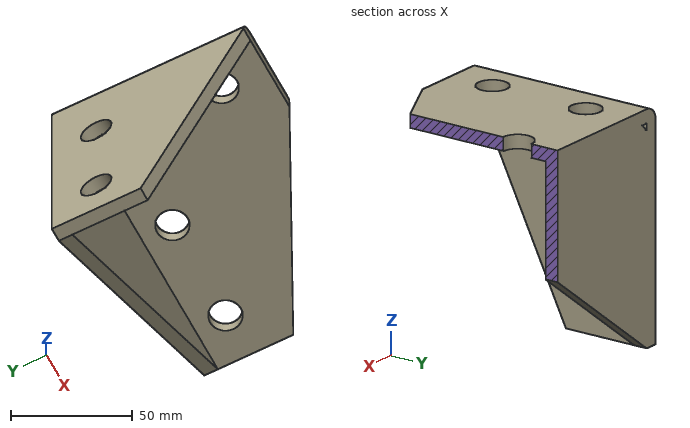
import cadquery as cq

length = 136.8
width = 89.0
height = 105.0
thickness = 6.3

hole_diameter = 14.2
hole_pitch = 47.6
hole_inset = 20.7
narrow_end = 2 * hole_inset

gusset_relief = 3.0

inner_top = height - thickness
back_hole_y = width - hole_inset


def top_plate():
    """Horizontal plate with one tapered corner and a rounded bend edge."""
    outline = [
        (0, 0),
        (narrow_end, 0),
        (length, width - narrow_end),
        (length, width),
        (0, width),
    ]
    plate = cq.Workplane("XY").workplane(offset=inner_top).polyline(outline).close().extrude(thickness)
    bend = (
        cq.Workplane("XZ")
        .moveTo(0, inner_top)
        .radiusArc((thickness, height), thickness)
        .lineTo(0, height)
        .close()
        .extrude(-width)
    )
    return plate.cut(bend)


def wall():
    """Vertical plate at X = 0, narrowing toward the bottom."""
    outline = [
        (0, inner_top),
        (width, inner_top),
        (width, 0),
        (width - narrow_end, 0),
    ]
    return cq.Workplane("YZ").polyline(outline).close().extrude(thickness)


def gusset():
    """Triangular web along the +Y side, joining both plates."""
    outline = [
        (thickness, 0),
        (length, inner_top),
        (thickness + gusset_relief, inner_top),
        (thickness, inner_top - gusset_relief),
    ]
    return (
        cq.Workplane("XZ", origin=(0, width, 0))
        .polyline(outline)
        .close()
        .extrude(thickness)
    )


def top_holes():
    """Three holes along the +Y side and one more beside the bend."""
    centers = [(hole_inset + i * hole_pitch, back_hole_y) for i in range(3)]
    centers.append((hole_inset, back_hole_y - hole_pitch))
    return (
        cq.Workplane("XY")
        .workplane(offset=inner_top)
        .pushPoints(centers)
        .circle(hole_diameter / 2)
        .extrude(thickness)
    )


def wall_holes():
    """Two holes stacked above the bottom of the wall."""
    centers = [(back_hole_y, hole_inset + i * hole_pitch) for i in range(2)]
    return cq.Workplane("YZ").pushPoints(centers).circle(hole_diameter / 2).extrude(thickness)


result = top_plate().union(wall()).union(gusset()).cut(top_holes()).cut(wall_holes())